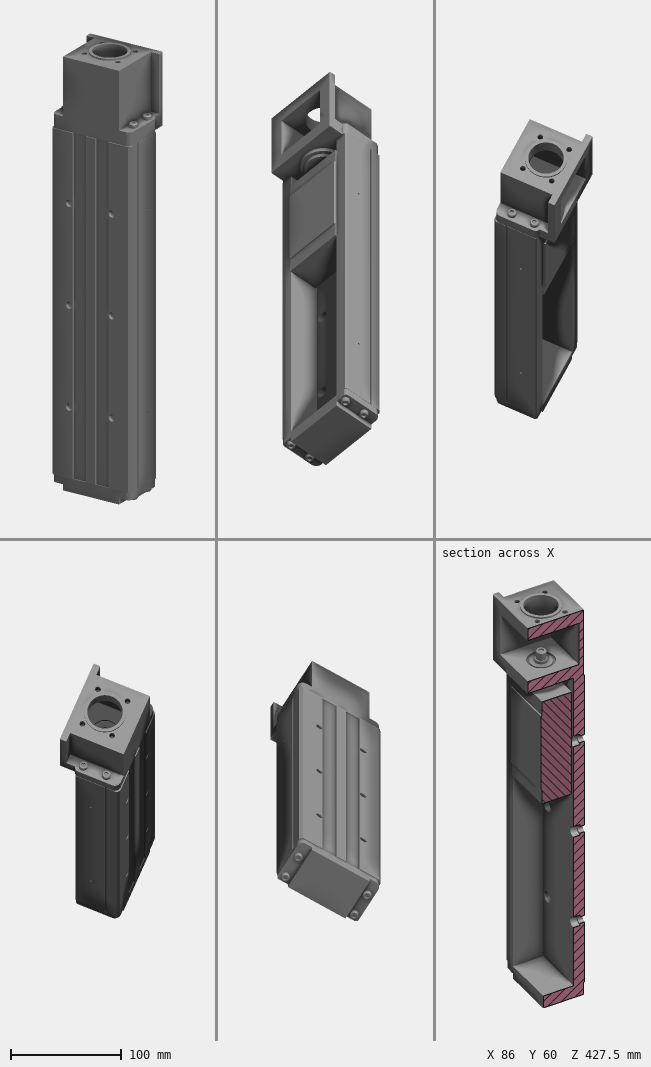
import cadquery as cq


end_block_height = 6.0
rail_bottom = 13.5
rail_top = 353.5
flange_top = 367.2
mount_top = 426.0
pilot_top = 427.5

rail_width = 86.0
rail_height = 43.5
rail_chamfer = 2.5
rail_top_chamfer = 1.3
rail_centre_z = (rail_bottom + rail_top) / 2
channel_width = 60.5
channel_floor = 12.0

pad_recess_depth = 1.5
recess_inner_x = 5.0
recess_outer_x = 19.2
recess_wall_slope = 0.5

side_groove_y = 13.3
side_groove_width = 1.5
side_groove_depth = 1.0

hole_pitch_x = 46.0
hole_pitch_z = 100.0
mounting_hole_diameter = 7.0
mounting_counterbore_diameter = 11.0
mounting_counterbore_depth = 7.0
side_hole_diameter = 2.1
side_hole_y = 28.0
side_hole_depth = 6.0

plate_width = 85.5
screw_y = 32.0
plate_front_y = 1.0
flange_back_y = 45.5
front_corner_radius = 6.0
flange_back_radius = 5.0
end_plate_back_radius = 3.0

block_width = 60.5
back_plate_width = 78.5
back_plate_thickness = 6.5
back_plate_chamfer = 0.5
mount_back_y = 60.0
coupling_cavity_width = 51.5
coupling_cavity_top = 412.0
motor_bore_diameter = 32.0
pilot_diameter = 38.0
motor_hole_diameter = 5.0
motor_hole_depth = 8.5
motor_hole_x = 18.0
motor_hole_y = 14.5

bearing_seat_diameter = 27.0
bearing_seat_depth = 2.0
bearing_nut_diameter = 21.5
bearing_nut_height = 1.3
collar_diameter = 12.0
collar_height = 4.3
shaft_diameter = 10.0
shaft_length = 13.0
shaft_chamfer = 1.0
centre_hole_diameter = 5.5
centre_hole_depth = 2.0

boss_diameter = 41.0
boss_height = 4.0
boss_tip_diameter = 34.0
boss_tip_height = 4.0

bolt_x = 36.5
bolt_ys = (15.5, 38.0)
bolt_head_diameter = 8.0
bolt_head_height = 4.0
bolt_head_chamfer = 1.0
bolt_socket_diameter = 4.15
bolt_socket_depth = 2.0

carriage_bottom = 226.0
carriage_top = 339.5
carriage_cap_length = 15.5
carriage_chamfer = 1.0
carriage_back_y = 46.0
cap_back_y = 45.0
carriage_floor_gap = 1.5


def slab(width, y_front, y_back, z_low, z_high):
    """Box centred on X between the given Y and Z limits."""
    size = (width, y_back - y_front, z_high - z_low)
    return cq.Workplane("XY").box(*size, centered=(True, False, False)).translate((0, y_front, z_low))


def cylinder_up(diameter, height, z, x=0.0, y=screw_y):
    """Cylinder that rises from the given point along Z."""
    return cq.Workplane("XY").circle(diameter / 2).extrude(height).translate((x, y, z))


def rounded_plate(y_back, back_radius, z_low, z_high):
    """Flange-shaped plate with rounded vertical corners."""
    plate = slab(plate_width, plate_front_y, y_back, z_low, z_high)
    plate = plate.edges("|Z and <Y").fillet(front_corner_radius)
    return plate.edges("|Z and >Y").fillet(back_radius)


def pad_recess():
    """Trapezoidal recess between the centre pad and the +X pad."""
    return (
        cq.Workplane("XY")
        .workplane(offset=rail_bottom)
        .moveTo(recess_inner_x - recess_wall_slope, 0)
        .lineTo(recess_outer_x + recess_wall_slope, 0)
        .lineTo(recess_outer_x - recess_wall_slope, pad_recess_depth)
        .lineTo(recess_inner_x + recess_wall_slope, pad_recess_depth)
        .close()
        .extrude(rail_top - rail_bottom)
    )


def mounting_hole(x, z):
    """Hole through the channel floor, counterbored from inside the channel."""
    plane = cq.Plane(origin=(x, 0, z), xDir=(1, 0, 0), normal=(0, 1, 0))
    hole = cq.Workplane(plane).circle(mounting_hole_diameter / 2).extrude(channel_floor)
    counterbore = (
        cq.Workplane(plane)
        .workplane(offset=channel_floor - mounting_counterbore_depth)
        .circle(mounting_counterbore_diameter / 2)
        .extrude(mounting_counterbore_depth)
    )
    return hole.union(counterbore)


def side_hole(side, z):
    """Small blind hole in one side of the rail (side is -1 or 1)."""
    plane = cq.Plane(origin=(side * rail_width / 2, side_hole_y, z), xDir=(0, 1, 0), normal=(-side, 0, 0))
    return cq.Workplane(plane).circle(side_hole_diameter / 2).extrude(side_hole_depth)


def make_rail():
    rail = slab(rail_width, 0, rail_height, rail_bottom, rail_top)
    rail = rail.edges("|Z and <Y").chamfer(rail_chamfer)
    rail = rail.edges("|Z and >Y").chamfer(rail_top_chamfer)
    rail = rail.cut(slab(channel_width, channel_floor, rail_height, rail_bottom, rail_top))

    recess = pad_recess()
    rail = rail.cut(recess).cut(recess.mirror("YZ"))

    groove_front = side_groove_y - side_groove_width / 2
    groove_back = groove_front + side_groove_width
    groove = slab(2 * side_groove_depth, groove_front, groove_back, rail_bottom, rail_top)
    for side in (-1, 1):
        rail = rail.cut(groove.translate((side * rail_width / 2, 0, 0)))
        for row in (-1, 0, 1):
            rail = rail.cut(mounting_hole(side * hole_pitch_x / 2, rail_centre_z + row * hole_pitch_z))
        for row in (-1, 1):
            rail = rail.cut(side_hole(side, rail_centre_z + row * hole_pitch_z))
    return rail


def make_motor_mount():
    flange = rounded_plate(flange_back_y, flange_back_radius, rail_top, flange_top)
    back_plate_front = mount_back_y - back_plate_thickness
    back_plate = slab(back_plate_width, back_plate_front, mount_back_y, rail_top, mount_top)
    back_plate = back_plate.edges("|Z and >Y").chamfer(back_plate_chamfer)
    foot = slab(back_plate_width, screw_y, back_plate_front, rail_top, flange_top)
    block = slab(block_width, plate_front_y, back_plate_front, rail_top, mount_top)
    mount = flange.union(foot).union(block).union(back_plate)
    mount = mount.union(cylinder_up(pilot_diameter, pilot_top - mount_top, mount_top))

    cavity_front = screw_y - coupling_cavity_width / 2
    mount = mount.cut(
        slab(coupling_cavity_width, cavity_front, mount_back_y, flange_top, coupling_cavity_top)
    )
    mount = mount.cut(cylinder_up(motor_bore_diameter, pilot_top - coupling_cavity_top, coupling_cavity_top))

    for x in (-motor_hole_x, motor_hole_x):
        for y in (screw_y - motor_hole_y, screw_y + motor_hole_y):
            hole_floor = mount_top - motor_hole_depth
            hole_height = pilot_top - hole_floor
            mount = mount.cut(cylinder_up(motor_hole_diameter, hole_height, hole_floor, x, y))
    return mount


def add_shaft_and_bearing(body):
    seat_floor = flange_top - bearing_seat_depth
    body = body.cut(cylinder_up(bearing_seat_diameter, bearing_seat_depth, seat_floor))
    body = body.union(cylinder_up(bearing_nut_diameter, bearing_nut_height, seat_floor))
    body = body.union(cylinder_up(collar_diameter, collar_height, seat_floor))
    shaft = cylinder_up(shaft_diameter, shaft_length, seat_floor).faces(">Z").chamfer(shaft_chamfer)
    centre_hole_floor = seat_floor + shaft_length - centre_hole_depth
    shaft = shaft.cut(cylinder_up(centre_hole_diameter, centre_hole_depth, centre_hole_floor))
    body = body.union(shaft)

    boss_bottom = rail_top - boss_height
    body = body.union(cylinder_up(boss_diameter, boss_height, boss_bottom))
    return body.union(cylinder_up(boss_tip_diameter, boss_tip_height, boss_bottom - boss_tip_height))


def make_end_plate():
    plate = rounded_plate(rail_height, end_plate_back_radius, end_block_height, rail_bottom)
    return plate.union(slab(block_width, plate_front_y, rail_height, 0, end_block_height))


def make_bolt_head():
    """Socket head that stands on Z = 0."""
    head = cylinder_up(bolt_head_diameter, bolt_head_height, 0, y=0)
    head = head.faces(">Z").chamfer(bolt_head_chamfer)
    socket_floor = bolt_head_height - bolt_socket_depth
    return head.cut(cylinder_up(bolt_socket_diameter, bolt_socket_depth, socket_floor, y=0))


def make_base():
    base = make_rail().union(make_motor_mount()).union(make_end_plate())
    base = add_shaft_and_bearing(base)
    upward_head = make_bolt_head()
    downward_head = upward_head.mirror("XY")
    for x in (-bolt_x, bolt_x):
        for y in bolt_ys:
            base = base.union(upward_head.translate((x, y, flange_top)))
            base = base.union(downward_head.translate((x, y, end_block_height)))
    return base


def make_carriage():
    """Block with a lower cap at each end; its sides bear on the channel walls."""
    front_y = channel_floor + carriage_floor_gap
    body = slab(channel_width, front_y, cap_back_y, carriage_bottom, carriage_top)
    table_bottom = carriage_bottom + carriage_cap_length
    table_top = carriage_top - carriage_cap_length
    table = slab(channel_width, front_y, carriage_back_y, table_bottom, table_top)
    table = table.edges("|Z and >Y").chamfer(carriage_chamfer)
    return body.union(table)


base = make_base()
carriage = make_carriage()

result = cq.Compound.makeCompound([base.val(), carriage.val()])